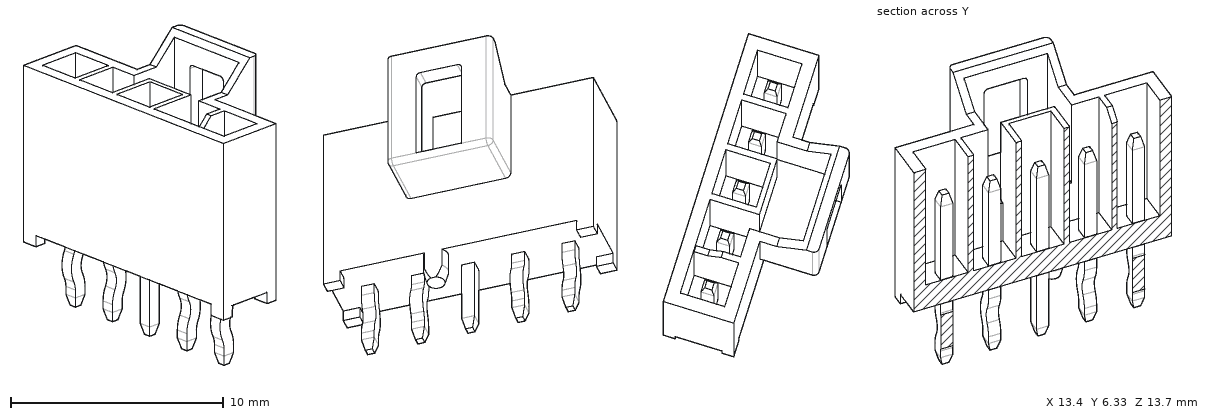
import cadquery as cq


pin_count = 5
pitch = 2.5
pin_side = 0.65
pin_bottom = -3.22
pin_top = 7.02
tip_side = 0.35
tip_length = 0.56
bend_shift = 0.26
bend_height = 2.29
bend_mid_z = -1.11

body_length = 13.44
body_width = 3.48
body_top = 9.02
standoff = 0.58
foot_length = 0.84
foot_width = 0.59
cell_side = 2.2
cell_depth = 6.99
divider = pitch - cell_side
center_back_wall = 0.25
body_back = body_width / 2
cell_back = cell_side / 2

dip_slope = 0.66
dip_start_y = 0.23

tower_length = 5.22
tower_reach = 2.85
tower_rise = 1.47
tower_height = 6.45
tower_side_wall = 0.44
tower_back_wall = 0.84
tower_floor = 0.27
tower_rim = 0.55
tower_round = 0.26
tower_back = body_back + tower_reach
tower_top = body_top + tower_rise
tower_bottom = tower_top - tower_height
pocket_floor_z = tower_bottom + tower_floor
pocket_back = tower_back - tower_back_wall

window_width = 2.25
window_drop = 1.37
window_round = 0.2

peg_diameter = 1.19
peg_end_diameter = 0.85
peg_shoulder_z = -0.4
peg_bottom = -1.03
peg_x = pitch / 2
peg_inset = 0.41
peg_y = body_back - peg_inset


def block(x0, x1, y0, y1, z0, z1):
    """Box between opposite corners."""
    return cq.Workplane("XY").box(x1 - x0, y1 - y0, z1 - z0, centered=False).translate((x0, y0, z0))


def centered_block(x, length, y0, y1, z0, z1):
    """Box of the given length centred on x."""
    return block(x - length / 2, x + length / 2, y0, y1, z0, z1)


pin_places = [(i - (pin_count - 1) / 2) * pitch for i in range(pin_count)]


def make_body():
    """Plain block standing on four corner feet."""
    body = centered_block(0, body_length, -body_back, body_back, 0, body_top)
    gap_length = body_length - 2 * foot_length
    gap_width = body_width - 2 * foot_width
    body = body.cut(centered_block(0, gap_length, -body_back, body_back, 0, standoff))
    return body.cut(centered_block(0, body_length, -gap_width / 2, gap_width / 2, 0, standoff))


def make_tower():
    """Latch tower with a 45 degree shoulder and rounded outer edges."""
    shoulder_y = tower_back - tower_rim - tower_rise
    outline = [
        (cell_back, tower_bottom),
        (tower_back, tower_bottom),
        (tower_back, tower_top),
        (tower_back - tower_rim, tower_top),
        (shoulder_y, body_top),
        (cell_back, body_top),
    ]
    tower = cq.Workplane("YZ").polyline(outline).close().extrude(tower_length / 2, both=True)
    outer_edges = tower.edges("(>Y and |Z) or (<Z and |Y) or (<Z and >Y)")
    return outer_edges.fillet(tower_round)


def make_pocket():
    """Space inside the tower, open to the cells beside the walled centre cell."""
    pocket_length = tower_length - 2 * tower_side_wall
    pocket = centered_block(0, pocket_length, cell_back, pocket_back, pocket_floor_z, tower_top)
    center_length = cell_side + 2 * divider
    wall_back = cell_back + center_back_wall
    return pocket.cut(centered_block(0, center_length, cell_back, wall_back, pocket_floor_z, tower_top))


def make_window():
    """Opening with rounded top corners through the back wall of the tower, rising from the pocket floor."""
    window_top = tower_top - window_drop
    window = centered_block(0, window_width, pocket_back, tower_back, pocket_floor_z, window_top)
    return window.edges("|Y and >Z").fillet(window_round)


def make_divider_dip():
    """Lowered front part of the last divider, reached by a 45 degree slope."""
    dip_z = body_top - dip_slope
    outline = [
        (dip_start_y, body_top),
        (dip_start_y - dip_slope, dip_z),
        (-cell_back, dip_z),
        (-cell_back, body_top),
    ]
    dip = cq.Workplane("YZ").polyline(outline).close().extrude(divider / 2, both=True)
    return dip.translate(((pin_places[-2] + pin_places[-1]) / 2, 0, 0))


def make_peg():
    """Taper-ended peg, trimmed flush with the back of the housing."""
    peg = (
        cq.Workplane("XZ")
        .moveTo(0, standoff)
        .lineTo(peg_diameter / 2, standoff)
        .lineTo(peg_diameter / 2, peg_shoulder_z)
        .lineTo(peg_end_diameter / 2, peg_bottom)
        .lineTo(0, peg_bottom)
        .close()
        .revolve(360, (0, 0), (0, 1))
        .translate((peg_x, peg_y, 0))
    )
    return peg.intersect(centered_block(0, body_length, -body_back, body_back, peg_bottom, standoff))


def make_tip(z, direction):
    """Pyramid-shaped pin end pointing along +Z (1) or -Z (-1)."""
    return (
        cq.Workplane("XY", origin=(0, 0, z))
        .rect(pin_side, pin_side)
        .workplane(offset=direction * tip_length)
        .rect(tip_side, tip_side)
        .loft(ruled=True)
    )


def make_pin(shift):
    """Square pin whose tail bows sideways by shift along Y; zero gives a straight tail."""
    shank_top = pin_top - tip_length
    shank_bottom = pin_bottom + tip_length
    path = cq.Workplane("YZ").moveTo(0, shank_top)
    if shift:
        half = bend_height / 2
        path = (
            path.lineTo(0, bend_mid_z + half)
            .tangentArcPoint((shift / 2, bend_mid_z + half / 2), relative=False)
            .tangentArcPoint((shift / 2, bend_mid_z - half / 2), relative=False)
            .tangentArcPoint((0, bend_mid_z - half), relative=False)
        )
    path = path.lineTo(0, shank_bottom)
    start = cq.Workplane("XY", origin=(0, 0, shank_top)).rect(pin_side, pin_side)
    shank = start.sweep(path)
    return shank.union(make_tip(shank_top, 1)).union(make_tip(shank_bottom, -1))


housing = make_body().union(make_tower()).cut(make_pocket()).cut(make_window()).cut(make_divider_dip())
for x in pin_places:
    cell = centered_block(x, cell_side, -cell_back, cell_back, body_top - cell_depth, body_top)
    housing = housing.cut(cell)

result = housing.union(make_peg())

tail_shifts = [-bend_shift, bend_shift, 0, bend_shift, -bend_shift]
for x, shift in zip(pin_places, tail_shifts):
    result = result.union(make_pin(shift).translate((x, 0, 0)))